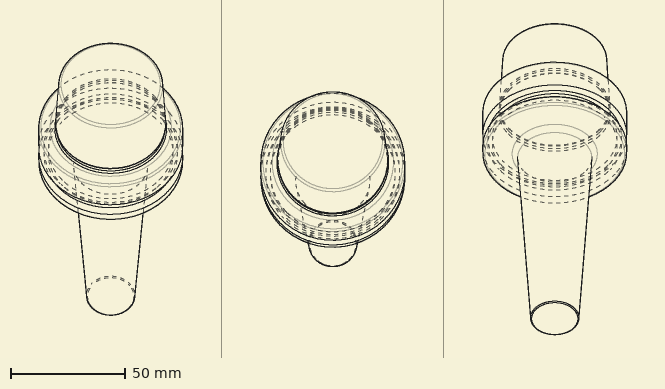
import cadquery as cq

total_length = 157.9
flange_bottom = 100.1
flange_top = 126.0
groove_bottom = 106.5
groove_top = 110.4
neck_top = 97.5

nose_radius = 10.6
neck_radius = 16.3
neck_flare_radius = 18.6
flange_radius = 31.5
groove_radius = 27.3
relief_outer_radius = 26.5
relief_inner_radius = 24.5
shank_base_radius = 24.2
shank_tip_radius = 22.7

nose_chamfer = 0.5
flange_fillet = 1.0
groove_bevel_width = 2.2
upper_bevel_height = 1.3
lower_bevel_height = 1.9
relief_depth = 0.6
collar_height = 1.9
collar_foot_height = 0.3
collar_step_height = 0.8
collar_step = 0.3
shank_fillet = 1.1


def tool_side(profile):
    """Outline from the tool end up the tapered neck and its concave flare."""
    flare_bulge = 0.3 * (neck_flare_radius - neck_radius)
    flare_middle = (neck_radius + flare_bulge, flange_bottom - flare_bulge)
    return (
        profile.lineTo(nose_radius - nose_chamfer, 0)
        .lineTo(nose_radius, nose_chamfer)
        .lineTo(neck_radius, neck_top)
        .threePointArc(flare_middle, (neck_flare_radius, flange_bottom))
    )


def gripper_flange(profile):
    """Outline of the flange with its bevelled gripper groove."""
    groove_lip_radius = flange_radius - groove_bevel_width
    return (
        profile.lineTo(flange_radius - flange_fillet, flange_bottom)
        .tangentArcPoint((flange_radius, flange_bottom + flange_fillet), relative=False)
        .lineTo(flange_radius, groove_bottom - lower_bevel_height)
        .lineTo(groove_lip_radius, groove_bottom)
        .lineTo(groove_radius, groove_bottom)
        .lineTo(groove_radius, groove_top)
        .lineTo(groove_lip_radius, groove_top)
        .lineTo(flange_radius, groove_top + upper_bevel_height)
        .lineTo(flange_radius, flange_top - flange_fillet)
        .tangentArcPoint((flange_radius - flange_fillet, flange_top), relative=False)
    )


def taper_shank(profile):
    """Outline of the sloped relief, flared foot, stepped collar and tapered shank."""
    collar_top = flange_top + collar_height
    collar_radius = shank_base_radius - collar_step
    return (
        profile.lineTo(relief_outer_radius, flange_top)
        .lineTo(relief_inner_radius, flange_top - relief_depth)
        .lineTo(collar_radius, flange_top + collar_foot_height)
        .lineTo(collar_radius, collar_top)
        .lineTo(shank_base_radius, collar_top + collar_step_height)
        .lineTo(shank_tip_radius, total_length)
        .lineTo(0, total_length)
    )


profile = cq.Workplane("XZ").moveTo(0, 0)
profile = taper_shank(gripper_flange(tool_side(profile))).close()
result = profile.revolve(360, (0, 0, 0), (0, 1, 0))
result = result.faces(">Z").edges().fillet(shank_fillet)